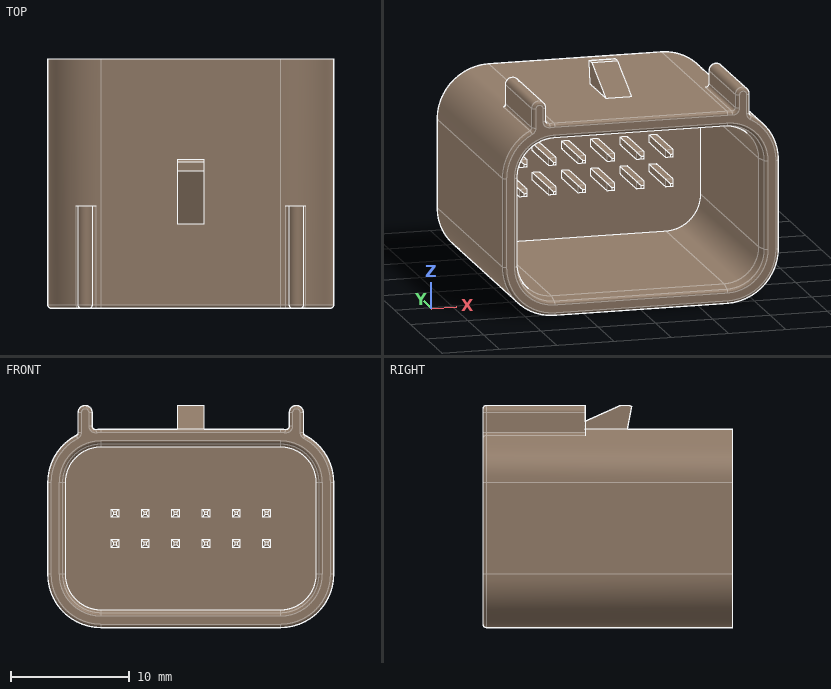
import cadquery as cq
import math

shell_width = 24.08
shell_height = 16.7
shell_depth = 21.0
corner_radius = 4.5
shell_top = shell_height / 2
mouth_fillet = 0.3

wall = 1.5
lead_in_depth = 1.1
lead_in_angle = 15.0
mouth_wall = wall - lead_in_depth * math.tan(math.radians(lead_in_angle))
floor_depth = shell_depth - wall

rib_rise = 2.0
rib_centre_x = 8.89
rib_width = 1.2
rib_length = 8.62
rib_root_depth = 0.72
rib_root_fillet = 0.3
crest_z = shell_top + rib_rise

latch_width = 2.25
latch_ramp_start = 7.1
latch_ramp_end = 11.55
latch_tip = 12.52
latch_tip_run = 0.2
latch_tip_drop = 0.1
latch_heel = 12.15

pin_columns = 6
pin_rows = 2
pin_pitch = 2.55
pin_size = 0.65
pin_length = 6.02
pin_tip_length = 0.77
pin_tip_angle = 15.0


def rounded_prism(inset, start, length, taper=0.0):
    """Prism along +Y whose section is the shell outline moved inward by inset."""
    section = (
        cq.Sketch()
        .rect(shell_width - 2 * inset, shell_height - 2 * inset)
        .vertices()
        .fillet(corner_radius - inset)
    )
    return (
        cq.Workplane("XZ", origin=(0, start, 0))
        .placeSketch(section)
        .extrude(-length, taper=taper)
    )


def make_rib(side):
    """Guide rib on the side given by the sign, with its root sunk into the shell."""
    crest_radius = rib_width / 2
    return (
        cq.Workplane("XZ", origin=(side * rib_centre_x, 0, 0))
        .moveTo(-crest_radius, shell_top - rib_root_depth)
        .lineTo(crest_radius, shell_top - rib_root_depth)
        .lineTo(crest_radius, crest_z - crest_radius)
        .threePointArc((0, crest_z), (-crest_radius, crest_z - crest_radius))
        .close()
        .extrude(-rib_length)
    )


def corner_height(x):
    """Height of the shell's upper rounded corner at distance x from the middle."""
    run = x - (shell_width / 2 - corner_radius)
    return shell_top - corner_radius + math.sqrt(corner_radius**2 - run**2)


def fillet_rib_roots(body):
    """Blend both flanks of each rib into the rounded corner of the shell."""
    for side in (-1, 1):
        for flank in (-1, 1):
            x = rib_centre_x + flank * rib_width / 2
            root_middle = (side * x, rib_length / 2, corner_height(x))
            root_edge = cq.selectors.NearestToPointSelector(root_middle)
            body = body.edges(root_edge).fillet(rib_root_fillet)
    return body


def make_latch():
    """Ramp rising from the mouth side to a short crest with a bevelled, undercut back."""
    return (
        cq.Workplane("YZ")
        .polyline([
            (latch_ramp_start, shell_top),
            (latch_ramp_end, crest_z),
            (latch_tip - latch_tip_run, crest_z),
            (latch_tip, crest_z - latch_tip_drop),
            (latch_heel, shell_top),
        ])
        .close()
        .extrude(latch_width / 2, both=True)
    )


def pin_grid(start, length, taper=0.0):
    """Square posts on the pin grid, from depth start toward the mouth."""
    return (
        cq.Workplane("XZ", origin=(0, start, 0))
        .rarray(pin_pitch, pin_pitch, pin_columns, pin_rows)
        .rect(pin_size, pin_size)
        .extrude(length, taper=taper)
    )


def make_pins():
    """Contact pins rising from the floor, each ending in a tapered tip."""
    shank_length = pin_length - pin_tip_length
    shanks = pin_grid(floor_depth, shank_length)
    tips = pin_grid(floor_depth - shank_length, pin_tip_length, pin_tip_angle)
    return shanks.union(tips)


body = rounded_prism(0, 0, shell_depth)
body = body.union(make_rib(-1)).union(make_rib(1))
body = fillet_rib_roots(body)

body = body.cut(rounded_prism(mouth_wall, 0, lead_in_depth, lead_in_angle))
body = body.cut(rounded_prism(wall, lead_in_depth, floor_depth - lead_in_depth))
body = body.faces("<Y").edges().fillet(mouth_fillet)

result = body.union(make_latch()).union(make_pins())